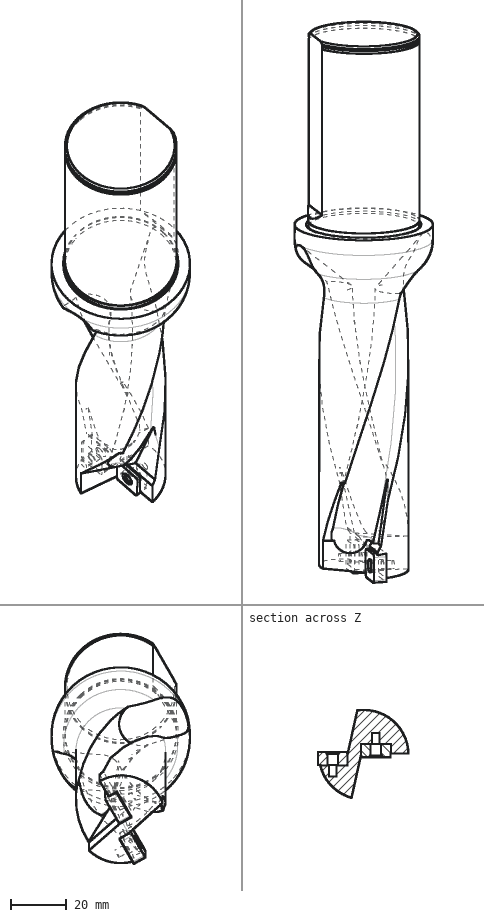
import cadquery as cq
import math

TOTAL_LENGTH = 198.0
SHANK_DIAMETER = 40.0
GROOVE_DIAMETER = 39.5
TOP_CHAMFER = 0.8
TOP_GROOVE_Z = 195.5
TOP_GROOVE_WIDTH = 1.0
BASE_GROOVE_HEIGHT = 1.4
UNDERCUT_DIAMETER = 41.2
UNDERCUT_DEPTH = 0.5
SHANK_FLAT_Y = 18.0
FLAT_END_Z = 134.6
FLAT_RUNOUT_HEIGHT = 2.8
COLLAR_DIAMETER = 49.5
COLLAR_TOP_Z = 128.1
COLLAR_EDGE_Z = 122.5
NECK_TOP_Z = 103.0
BODY_DIAMETER = 32.0
BODY_BOTTOM_Z = 1.5

FLUTE_RADIUS = 8.0
FLUTE_CENTRE = (-4.8, -11.0)
FLUTE_WALL_SLOPE = 0.1
FLUTE_TOP_Z = 105.0
FLUTE_BOTTOM_Z = 14.8
TWIST_PER_UNIT = 1.162
RUNOUT_LENGTH = 23.8
RUNOUT_SIDE_SLOPE = 0.5
RUNOUT_OUTWARD_SLOPE = 1.2
FLUTE_MOUTH_Y = -39.5

POCKET_FLOOR_Y = 0.4
POCKET_TOP_Z = 11.3
POCKET_STEP_Z = 13.7
POCKET_WALL_FLARE = 3.5
RELIEF_FLOOR_Y = 1.8
RELIEF_TOP_FLOOR_Y = 5.5
RELIEF_TOP_Z = 36.6
RELIEF_TOP_X = 11.0
RELIEF_FLOOR_OFFSET = 6.7
END_RELIEF_RISE = 1.8

INSERT_SIDE = 10.5
INSERT_THICKNESS = 4.8
INSERT_FACE_Y = -1.0
INSERT_CORNER_RADIUS = 1.0
INNER_INSERT_TILT = 2.0
OUTER_INSERT_TILT = 0.0
COUNTERSINK_DIAMETER = 4.8
INSERT_HOLE_DIAMETER = 4.0
COUNTERSINK_DEPTH = 0.8
SCREW_HOLE_DIAMETER = 3.0
SCREW_HOLE_DEPTH = 4.0
INNER_INSERT_X = 4.4
OUTER_INSERT_X = 11.0

BODY_RADIUS = BODY_DIAMETER / 2
INNER_TILT_ANGLE = math.radians(INNER_INSERT_TILT)
INSERT_CENTRE_Z = INSERT_CORNER_RADIUS + (INSERT_SIDE / 2 - INSERT_CORNER_RADIUS) * (
    math.cos(INNER_TILT_ANGLE) + math.sin(INNER_TILT_ANGLE)
)
REACH = COLLAR_DIAMETER


def turned_blank():
    shank_radius = SHANK_DIAMETER / 2
    groove_radius = GROOVE_DIAMETER / 2
    collar_radius = COLLAR_DIAMETER / 2
    arc_height = COLLAR_EDGE_Z - NECK_TOP_Z
    arc_step = collar_radius - BODY_RADIUS
    arc_angle = 2 * math.atan(arc_step / arc_height)
    arc_radius = arc_height / (2 * math.sin(arc_angle))
    half_drop = arc_radius * math.sin(arc_angle / 2)
    half_inset = arc_radius * (1 - math.cos(arc_angle / 2))
    return (
        cq.Workplane("XZ")
        .moveTo(0, BODY_BOTTOM_Z)
        .lineTo(BODY_RADIUS, BODY_BOTTOM_Z)
        .lineTo(BODY_RADIUS, NECK_TOP_Z)
        .threePointArc(
            (BODY_RADIUS + half_inset, NECK_TOP_Z + half_drop),
            (BODY_RADIUS + arc_step / 2, NECK_TOP_Z + arc_height / 2),
        )
        .threePointArc(
            (collar_radius - half_inset, COLLAR_EDGE_Z - half_drop),
            (collar_radius, COLLAR_EDGE_Z),
        )
        .lineTo(collar_radius, COLLAR_TOP_Z)
        .lineTo(UNDERCUT_DIAMETER / 2, COLLAR_TOP_Z)
        .lineTo(groove_radius, COLLAR_TOP_Z - UNDERCUT_DEPTH)
        .lineTo(groove_radius, COLLAR_TOP_Z + BASE_GROOVE_HEIGHT)
        .lineTo(shank_radius, COLLAR_TOP_Z + BASE_GROOVE_HEIGHT)
        .lineTo(shank_radius, TOP_GROOVE_Z)
        .lineTo(groove_radius, TOP_GROOVE_Z)
        .lineTo(groove_radius, TOP_GROOVE_Z + TOP_GROOVE_WIDTH)
        .lineTo(shank_radius, TOP_GROOVE_Z + TOP_GROOVE_WIDTH)
        .lineTo(shank_radius, TOTAL_LENGTH - TOP_CHAMFER)
        .lineTo(shank_radius - TOP_CHAMFER, TOTAL_LENGTH)
        .lineTo(0, TOTAL_LENGTH)
        .close()
        .revolve(360, (0, 0, 0), (0, 1, 0))
    )


def shank_flat():
    flat_depth = SHANK_DIAMETER / 2 - SHANK_FLAT_Y
    return (
        cq.Workplane("YZ")
        .moveTo(SHANK_FLAT_Y, TOTAL_LENGTH)
        .lineTo(SHANK_FLAT_Y, FLAT_END_Z)
        .lineTo(SHANK_FLAT_Y + flat_depth, FLAT_END_Z - FLAT_RUNOUT_HEIGHT)
        .lineTo(REACH, FLAT_END_Z - FLAT_RUNOUT_HEIGHT)
        .lineTo(REACH, TOTAL_LENGTH)
        .close()
        .extrude(REACH, both=True)
    )


def flute_section(z):
    centre_x, centre_y = FLUTE_CENTRE
    wall_length = centre_y - FLUTE_MOUTH_Y
    return (
        cq.Workplane("XY", origin=(0, 0, z))
        .moveTo(centre_x - FLUTE_RADIUS, FLUTE_MOUTH_Y)
        .lineTo(centre_x - FLUTE_RADIUS, centre_y)
        .threePointArc((centre_x, centre_y + FLUTE_RADIUS), (centre_x + FLUTE_RADIUS, centre_y))
        .lineTo(centre_x + FLUTE_RADIUS + wall_length * FLUTE_WALL_SLOPE, FLUTE_MOUTH_Y)
        .close()
    )


def flute_cutters():
    """Twisted channel, its runout into the collar and its round lower end."""
    length = FLUTE_TOP_Z - FLUTE_BOTTOM_Z
    channel = flute_section(0).twistExtrude(length, length * TWIST_PER_UNIT)
    channel = channel.rotate((0, 0, 0), (0, 0, 1), -length * TWIST_PER_UNIT)
    channel = channel.translate((0, 0, FLUTE_BOTTOM_Z))
    centre_x, centre_y = FLUTE_CENTRE
    path = cq.Vector(RUNOUT_SIDE_SLOPE, -RUNOUT_OUTWARD_SLOPE, 1).multiply(RUNOUT_LENGTH)
    runout_start = flute_section(FLUTE_TOP_Z).wires().val()
    runout = cq.Workplane(cq.Solid.extrudeLinear(runout_start, [], path))
    end_angle = math.radians(-length * TWIST_PER_UNIT)
    end_x = centre_x * math.cos(end_angle) - centre_y * math.sin(end_angle)
    end_y = centre_x * math.sin(end_angle) + centre_y * math.cos(end_angle)
    round_end = cq.Workplane("XY", origin=(end_x, end_y, FLUTE_BOTTOM_Z)).sphere(FLUTE_RADIUS)
    return channel, runout, round_end


def insert_blank(centre_x, tilt):
    """Rounded square prism with its face on the pocket side and its back in the body."""
    return (
        cq.Workplane("XZ", origin=(centre_x, INSERT_FACE_Y, INSERT_CENTRE_Z))
        .rect(INSERT_SIDE, INSERT_SIDE)
        .extrude(-INSERT_THICKNESS)
        .edges("|Y")
        .fillet(INSERT_CORNER_RADIUS)
        .rotate(
            (centre_x, 0, INSERT_CENTRE_Z),
            (centre_x, 1, INSERT_CENTRE_Z),
            tilt,
        )
    )


def insert(centre_x, tilt):
    hole = (
        cq.Workplane("XZ", origin=(centre_x, INSERT_FACE_Y, INSERT_CENTRE_Z))
        .circle(INSERT_HOLE_DIAMETER / 2)
        .extrude(-INSERT_THICKNESS)
    )
    countersink = (
        cq.Workplane("XZ", origin=(centre_x, INSERT_FACE_Y, INSERT_CENTRE_Z))
        .circle(COUNTERSINK_DIAMETER / 2)
        .workplane(offset=-COUNTERSINK_DEPTH)
        .circle(INSERT_HOLE_DIAMETER / 2)
        .loft()
    )
    return insert_blank(centre_x, tilt).cut(hole).cut(countersink)


def screw_hole(centre_x):
    seat_y = INSERT_FACE_Y + INSERT_THICKNESS
    return (
        cq.Workplane("XZ", origin=(centre_x, seat_y, INSERT_CENTRE_Z))
        .circle(SCREW_HOLE_DIAMETER / 2)
        .extrude(-SCREW_HOLE_DEPTH)
    )


def pocket(wall_x):
    """Open corner beside the insert, with a step sloping up to the chip relief."""
    flare = POCKET_WALL_FLARE / BODY_RADIUS
    profile = [
        (wall_x + flare * RELIEF_FLOOR_Y, RELIEF_FLOOR_Y),
        (REACH, RELIEF_FLOOR_Y),
        (REACH, -REACH),
        (wall_x - flare * REACH, -REACH),
    ]
    corner = cq.Workplane("XY").polyline(profile).close().extrude(POCKET_STEP_Z)
    raised_floor = (
        cq.Workplane("YZ")
        .moveTo(POCKET_FLOOR_Y, 0)
        .lineTo(POCKET_FLOOR_Y, POCKET_TOP_Z)
        .lineTo(RELIEF_FLOOR_Y, POCKET_STEP_Z)
        .lineTo(RELIEF_FLOOR_Y, 0)
        .close()
        .extrude(REACH, both=True)
    )
    return corner.cut(raised_floor)


def chip_relief(wall_x):
    """Space above the pocket whose floor deepens upwards and whose wall closes towards the flute."""
    lower = [
        (wall_x + RELIEF_FLOOR_OFFSET, RELIEF_FLOOR_Y),
        (REACH, RELIEF_FLOOR_Y),
        (REACH, -BODY_RADIUS),
        (wall_x - POCKET_WALL_FLARE, -BODY_RADIUS),
    ]
    upper = [
        (RELIEF_TOP_X, RELIEF_TOP_FLOOR_Y),
        (REACH, RELIEF_TOP_FLOOR_Y),
        (REACH, -BODY_RADIUS),
        (RELIEF_TOP_X, -BODY_RADIUS),
    ]
    return (
        cq.Workplane("XY", origin=(0, 0, POCKET_STEP_Z))
        .polyline(lower)
        .close()
        .workplane(offset=RELIEF_TOP_Z - POCKET_STEP_Z)
        .polyline(upper)
        .close()
        .loft(ruled=True)
    )


def end_relief():
    return (
        cq.Workplane("YZ")
        .moveTo(0, BODY_BOTTOM_Z)
        .lineTo(BODY_RADIUS, BODY_BOTTOM_Z)
        .lineTo(BODY_RADIUS, BODY_BOTTOM_Z + END_RELIEF_RISE)
        .close()
        .extrude(REACH, both=True)
    )


def tip_cutters(centre_x, tilt):
    wall_x = centre_x - INSERT_SIDE / 2
    return [
        pocket(wall_x),
        chip_relief(wall_x),
        insert_blank(centre_x, tilt),
        screw_hole(centre_x),
    ]


def half_turn(shape):
    return shape.rotate((0, 0, 0), (0, 0, 1), 180)


body = turned_blank().cut(shank_flat()).cut(end_relief())
for cutter in flute_cutters():
    body = body.cut(cutter).cut(half_turn(cutter))
for cutter in tip_cutters(INNER_INSERT_X, INNER_INSERT_TILT):
    body = body.cut(cutter)
for cutter in tip_cutters(OUTER_INSERT_X, OUTER_INSERT_TILT):
    body = body.cut(half_turn(cutter))

inner_insert = insert(INNER_INSERT_X, INNER_INSERT_TILT)
outer_insert = half_turn(insert(OUTER_INSERT_X, OUTER_INSERT_TILT))

result = cq.Compound.makeCompound([body.val(), inner_insert.val(), outer_insert.val()])